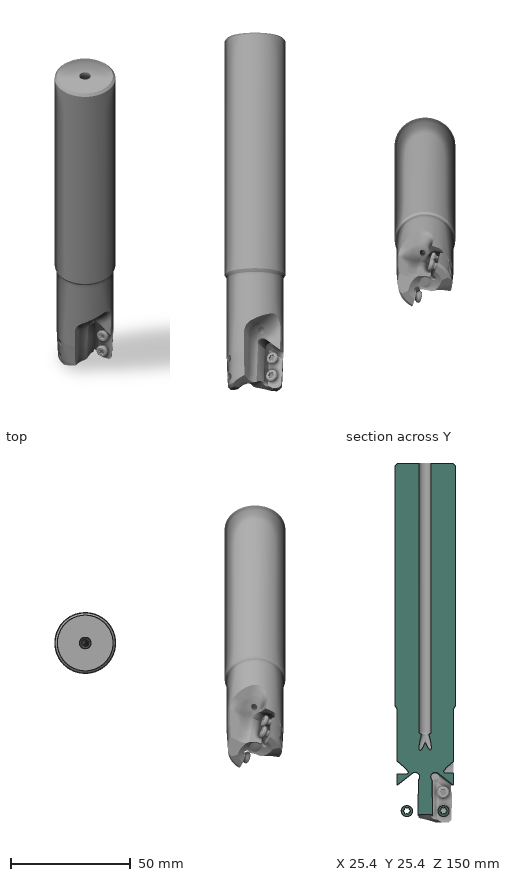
import cadquery as cq
import math

total_length = 150.0
shank_radius = 12.68
shank_bottom = 48.8
shank_top_chamfer = 1.0
neck_radius = 11.9
shoulder_height = 1.4
head_height = 13.7
head_end_radius = 11.3
head_end_chamfer = 1.0

bore_radius = 2.4
bore_bottom = 37.5
bore_point_angle = 118.0
branch_radius = 1.2
branch_exit = cq.Vector(4.0, -2.3, 24.3)
branch_overrun = 2.3

edge_count = 2
axial_rake = 5.0
cut_reach = 21.0

flute_wall_x = 0.8
flute_floor_y = -1.8
flute_floor_radius = 6.5
flute_wall_top = 20.4
flute_bend_radius = 6.0
runout_angle = 30.0

seat_y = 2.3
pocket_mouth_x = 2.4
pocket_mouth_y = -4.5
pocket_wall_x = 3.6
pocket_top_angle = -38.0
corner_relief_x = 4.2
corner_relief_z = 19.0
corner_relief_radius = 1.8
corner_relief_depth = 1.5
side_groove_radius = 1.2
top_groove_radius = 1.4

gash_top_radius = 2.4
gash_end_radius = 7.5
gash_height = 3.3
relief_start = 0.8
relief_angle = 25.0
relief_direction = 41.5

screw_x = 7.7
screw_heights = (5.0, 12.6)
screw_shank_radius = 1.5
screw_shank_depth = 4.5
screw_head_radius = 2.48
screw_rim_height = 1.2
screw_rim_chamfer = 0.5
screw_head_rise = 3.2
screw_cone_start = 0.9
socket_depth = 1.2
socket_core_radius = 1.0
socket_lobe_radius = 0.38
socket_lobes = 6


def at_edge(shape, index):
    """Lean a shape by the axial rake, then turn it to the given cutting edge."""
    leaned = shape.rotate((0, 0, 0), (1, 0, 0), -axial_rake)
    return turned(leaned, index)


def turned(shape, index):
    return shape.rotate((0, 0, 0), (0, 0, 1), index * 360.0 / edge_count)


def rod(start, direction, length, radius):
    return cq.Workplane(obj=cq.Solid.makeCylinder(radius, length, start, direction))


def prism_xz(outline, y_from, y_to):
    """Extrude an outline in X and Z from one Y to another; XZ planes extrude towards -Y."""
    return outline.extrude(y_from - y_to).translate((0, y_from, 0))


def turned_blank():
    head_slope = (neck_radius - head_end_radius) / head_height
    chamfer_top_radius = head_end_radius + head_slope * head_end_chamfer
    profile = [
        (0, 0),
        (head_end_radius - head_end_chamfer, 0),
        (chamfer_top_radius, head_end_chamfer),
        (neck_radius, head_height),
        (neck_radius, shank_bottom - shoulder_height),
        (shank_radius, shank_bottom),
        (shank_radius, total_length - shank_top_chamfer),
        (shank_radius - shank_top_chamfer, total_length),
        (0, total_length),
    ]
    return cq.Workplane("XZ").polyline(profile).close().revolve(360, (0, 0, 0), (0, 1, 0))


def flute():
    bend_centre_x = flute_wall_x + flute_bend_radius
    runout = math.radians(runout_angle)
    sweep = math.pi / 2 - runout

    def bend_point(angle):
        return (
            bend_centre_x - flute_bend_radius * math.cos(angle),
            flute_wall_top + flute_bend_radius * math.sin(angle),
        )

    bend_end = bend_point(sweep)
    runout_end_z = bend_end[1] + (cut_reach - bend_end[0]) * math.tan(runout)
    outline = (
        cq.Workplane("XZ")
        .moveTo(flute_wall_x, -cut_reach)
        .lineTo(flute_wall_x, flute_wall_top)
        .threePointArc(bend_point(sweep / 2), bend_end)
        .lineTo(cut_reach, runout_end_z)
        .lineTo(cut_reach, -cut_reach)
        .close()
    )
    return prism_xz(outline, flute_floor_y, -cut_reach).faces(">Y").edges().fillet(flute_floor_radius)


def insert_pocket():
    """Pocket with a sloping side wall and slanted top, with relief grooves along the seat corners."""
    section = (
        cq.Workplane("XY")
        .workplane(offset=-cut_reach)
        .polyline([
            (pocket_mouth_x, pocket_mouth_y),
            (pocket_wall_x, seat_y),
            (cut_reach, seat_y),
            (cut_reach, pocket_mouth_y),
        ])
        .close()
        .extrude(2 * cut_reach)
    )

    slope = math.radians(pocket_top_angle)
    along_top = cq.Vector(math.cos(slope), 0, math.sin(slope))
    towards_top = cq.Vector(-math.sin(slope), 0, math.cos(slope))
    relief_seat = cq.Vector(corner_relief_x, seat_y, corner_relief_z)
    top_start = relief_seat + towards_top * corner_relief_radius
    top_end = top_start + along_top * cut_reach
    below_top = prism_xz(
        cq.Workplane("XZ").polyline([
            (0, -cut_reach),
            (0, corner_relief_z),
            (corner_relief_x, corner_relief_z),
            (top_start.x, top_start.z),
            (top_end.x, top_end.z),
            (top_end.x, -cut_reach),
        ]).close(),
        seat_y,
        pocket_mouth_y,
    )

    outward = cq.Vector(0, -1, 0)
    corner_relief = rod(
        relief_seat - outward * corner_relief_depth,
        outward,
        corner_relief_depth + seat_y - pocket_mouth_y,
        corner_relief_radius,
    )
    side_groove = rod(
        cq.Vector(pocket_wall_x, seat_y, -cut_reach),
        cq.Vector(0, 0, 1),
        cut_reach + corner_relief_z,
        side_groove_radius,
    )
    top_groove_start = relief_seat + towards_top * (corner_relief_radius - top_groove_radius)
    top_groove = rod(top_groove_start, along_top, cut_reach, top_groove_radius)
    return section.intersect(below_top).union(corner_relief).union(side_groove).union(top_groove)


def coolant_bore():
    point_depth = bore_radius / math.tan(math.radians(bore_point_angle / 2))
    profile = [
        (0, bore_bottom - point_depth),
        (bore_radius, bore_bottom),
        (bore_radius, total_length),
        (0, total_length),
    ]
    return cq.Workplane("XZ").polyline(profile).close().revolve(360, (0, 0, 0), (0, 1, 0))


def coolant_branch():
    start = cq.Vector(0, 0, bore_bottom)
    path = branch_exit - start
    return rod(start, path, path.Length + branch_overrun, branch_radius)


def centre_gash():
    return cq.Workplane(obj=cq.Solid.makeCone(gash_end_radius, gash_top_radius, gash_height))


def end_relief():
    """Wedge that raises the trailing side of the end face, on the +Y lobe only."""
    rise = (cut_reach - relief_start) * math.tan(math.radians(relief_angle))
    outline = cq.Workplane("XZ").polyline([(-relief_start, 0), (-cut_reach, rise), (-cut_reach, 0)]).close()
    wedge = prism_xz(outline, cut_reach, -cut_reach).rotate((0, 0, 0), (0, 0, 1), -relief_direction)
    lobe_side = cq.Workplane("XY").box(2 * cut_reach, cut_reach, rise, centered=(True, False, False))
    return wedge.intersect(lobe_side)


def screw_blank(z):
    """Screw envelope on its axis: shank, countersunk cone and rim."""
    rim_start = screw_head_rise - screw_rim_height
    profile = [
        (0, -screw_shank_depth),
        (screw_shank_radius, -screw_shank_depth),
        (screw_shank_radius, screw_cone_start),
        (screw_head_radius, rim_start),
        (screw_head_radius, screw_head_rise - screw_rim_chamfer),
        (screw_head_radius - screw_rim_chamfer, screw_head_rise),
        (0, screw_head_rise),
    ]
    blank = cq.Workplane("XY").polyline(profile).close().revolve(360, (0, 0, 0), (0, 1, 0))
    return blank.rotate((0, 0, 0), (0, 0, 1), 180).translate((screw_x, seat_y, z))


def screw(z):
    face_centre = cq.Vector(screw_x, seat_y - screw_head_rise, z)
    inward = cq.Vector(0, 1, 0)
    socket = rod(face_centre, inward, socket_depth, socket_core_radius)
    for lobe in range(socket_lobes):
        angle = 2 * math.pi * lobe / socket_lobes
        offset = cq.Vector(math.cos(angle), 0, math.sin(angle)) * socket_core_radius
        socket = socket.union(rod(face_centre + offset, inward, socket_depth, socket_lobe_radius))
    return screw_blank(z).cut(socket)


def screw_hole(z):
    seat_point = cq.Vector(screw_x, seat_y, z)
    return rod(seat_point, cq.Vector(0, 1, 0), cut_reach, screw_shank_radius)


def cutter_body():
    body = turned_blank().cut(coolant_bore())
    for index in range(edge_count):
        body = body.cut(at_edge(flute(), index))
        body = body.cut(at_edge(insert_pocket(), index))
        body = body.cut(turned(coolant_branch(), index))
        body = body.cut(turned(end_relief(), index))
        for z in screw_heights:
            body = body.cut(at_edge(screw_hole(z), index))
    return body.cut(centre_gash())


cutter = cutter_body()
screws = [
    at_edge(screw(z), index).solids().val()
    for index in range(edge_count)
    for z in screw_heights
]

result = cq.Compound.makeCompound([cutter.solids().val(), *screws])